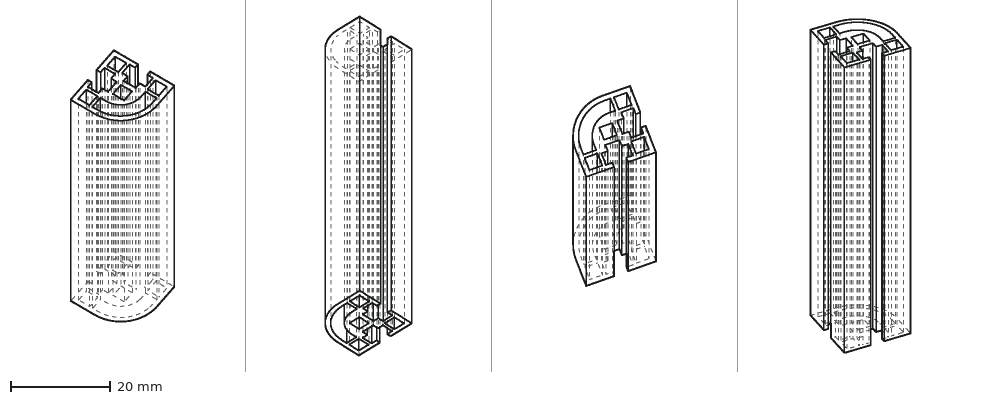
import cadquery as cq
import math

cos_45 = math.sqrt(0.5)

side = 15.0
length = 70.0
outer_radius = 9.0
wall = 1.125
cell = 2.75

slot_opening = 3.0
slot_lip = 1.0
undercut_width = 5.75
undercut_floor = 3.6
slot_depth = 5.0

half_side = side / 2
cell_offset = half_side - wall - cell / 2
arc_center = half_side - outer_radius

duct_outer_radius = outer_radius - wall
duct_inner_radius = duct_outer_radius - cell
duct_end = undercut_width / 2


def quarter_round_body():
    mid = outer_radius * cos_45
    return (
        cq.Workplane("XY")
        .moveTo(-half_side, -half_side)
        .lineTo(arc_center, -half_side)
        .threePointArc((arc_center + mid, -arc_center - mid), (half_side, -arc_center))
        .lineTo(half_side, half_side)
        .lineTo(-half_side, half_side)
        .close()
        .extrude(length)
    )


def top_slot():
    """Stepped slot opening on the +Y side."""
    groove = cq.Workplane("XY").center(0, half_side - slot_depth / 2)
    groove = groove.rect(slot_opening, slot_depth).extrude(length)
    undercut_height = undercut_floor - slot_lip
    undercut = cq.Workplane("XY").center(0, half_side - slot_lip - undercut_height / 2)
    undercut = undercut.rect(undercut_width, undercut_height).extrude(length)
    return groove.union(undercut)


def square_hollows():
    centers = [
        (-cell_offset, cell_offset),
        (cell_offset, cell_offset),
        (-cell_offset, -cell_offset),
        (0, 0),
    ]
    return cq.Workplane("XY").pushPoints(centers).rect(cell, cell).extrude(length)


def curved_duct():
    """Curved hollow following the rounded corner, with a short straight run at each end."""
    outer_mid = duct_outer_radius * cos_45
    inner_mid = duct_inner_radius * cos_45
    outer_reach = arc_center + duct_outer_radius
    inner_reach = arc_center + duct_inner_radius
    return (
        cq.Workplane("XY")
        .moveTo(-duct_end, -outer_reach)
        .lineTo(arc_center, -outer_reach)
        .threePointArc((arc_center + outer_mid, -arc_center - outer_mid), (outer_reach, -arc_center))
        .lineTo(outer_reach, duct_end)
        .lineTo(inner_reach, duct_end)
        .lineTo(inner_reach, -arc_center)
        .threePointArc((arc_center + inner_mid, -arc_center - inner_mid), (arc_center, -inner_reach))
        .lineTo(-duct_end, -inner_reach)
        .close()
        .extrude(length)
    )


slot = top_slot()
left_slot = slot.rotate((0, 0, 0), (0, 0, 1), 90)

result = quarter_round_body()
for cutter in (slot, left_slot, square_hollows(), curved_duct()):
    result = result.cut(cutter)